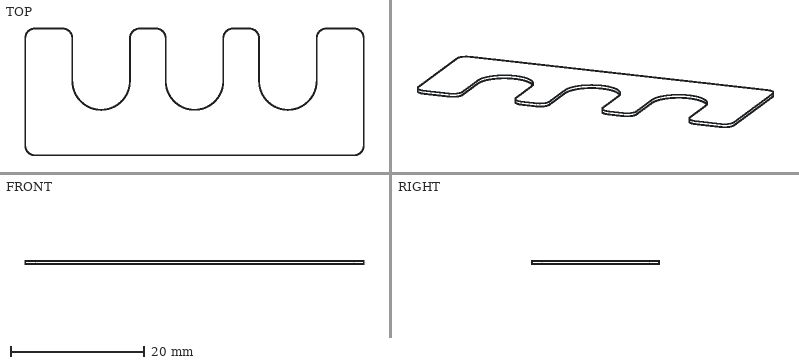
import cadquery as cq

length = 50.8
width = 19.05
thickness = 0.5
corner_radius = 1.5

slot_count = 3
slot_pitch = 14.0
slot_width = 8.6
slot_depth = 12.2

slot_radius = slot_width / 2
back_edge_y = width / 2
slot_arc_center_y = back_edge_y - slot_depth + slot_radius


def make_plate():
    """Flat rectangular plate centred in X and Y, resting on Z = 0."""
    return cq.Workplane("XY").rect(length, width).extrude(thickness)


def make_slot(center_x):
    """Cutter for one slot: straight sides ending in a half circle."""
    return (
        cq.Workplane("XY")
        .moveTo(center_x - slot_radius, back_edge_y)
        .lineTo(center_x - slot_radius, slot_arc_center_y)
        .threePointArc(
            (center_x, back_edge_y - slot_depth),
            (center_x + slot_radius, slot_arc_center_y),
        )
        .lineTo(center_x + slot_radius, back_edge_y)
        .close()
        .extrude(thickness)
    )


def round_corners(body):
    """Round the plate corners and the finger tips; the tangent slot ends are left alone."""
    front_corners = cq.selectors.BoxSelector(
        (-length, -back_edge_y - corner_radius, -thickness),
        (length, -back_edge_y + corner_radius, 2 * thickness),
    )
    back_corners = cq.selectors.BoxSelector(
        (-length, back_edge_y - corner_radius, -thickness),
        (length, back_edge_y + corner_radius, 2 * thickness),
    )
    return body.edges("|Z").edges(front_corners + back_corners).fillet(corner_radius)


plate = make_plate()
for index in range(slot_count):
    slot_x = (index - (slot_count - 1) / 2) * slot_pitch
    plate = plate.cut(make_slot(slot_x))

result = round_corners(plate)